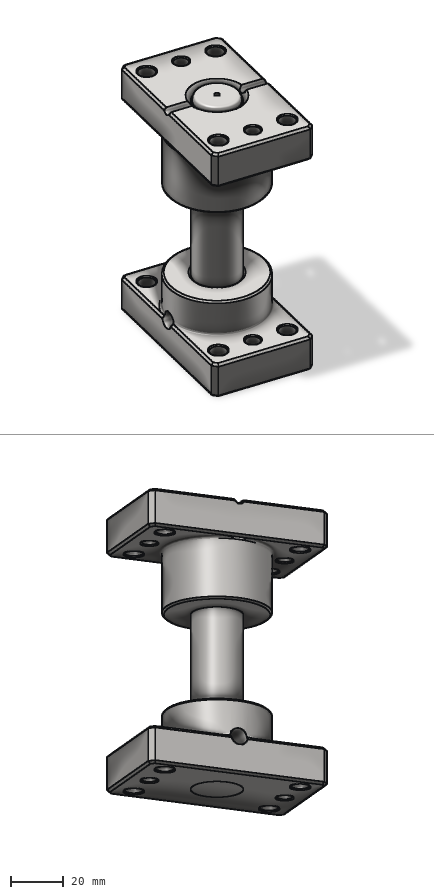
import cadquery as cq

total_height = 110.0
plate_length = 74.0
plate_width = 44.0
plate_thickness = 15.0
corner_chamfer = 2.0
edge_chamfer = 1.0

collar_diameter = 42.0
lower_collar_height = 15.0
upper_collar_height = 25.0
collar_rim_chamfer = 0.8
collar_root_radius = 1.0

pin_diameter = 20.0
pin_neck_diameter = 18.9
pin_top_radius = 2.0
pin_protrusion = 0.4
center_mark_diameter = 2.2
center_mark_depth = 2.0

corner_hole_diameter = 7.0
middle_hole_diameter = 6.0
hole_chamfer = 0.5
hole_spacing_x = 56.0
hole_spacing_y = 30.0

bore_mouth_chamfer = 0.9
countersink_diameter = 24.0
countersink_depth = 2.4
groove_radius = 2.0
side_hole_diameter = 6.8

pin_radius = pin_diameter / 2
collar_radius = collar_diameter / 2
center_mark_tip = center_mark_diameter / 2
upper_face_z = total_height - pin_protrusion
neck_base_z = upper_face_z - countersink_depth


def make_plate():
    """Chamfered rectangular plate with its underside on Z = 0."""
    return (
        cq.Workplane("XY")
        .box(plate_length, plate_width, plate_thickness, centered=(True, True, False))
        .edges("|Z")
        .chamfer(corner_chamfer)
        .faces("<Z or >Z")
        .edges()
        .chamfer(edge_chamfer)
    )


def make_collar(height):
    """Round collar standing on the plate, with a chamfered rim and a rounded root."""
    collar = (
        cq.Workplane("XY", origin=(0, 0, plate_thickness))
        .circle(collar_radius)
        .extrude(height)
        .faces(">Z")
        .chamfer(collar_rim_chamfer)
    )
    root = (
        cq.Workplane("XZ")
        .moveTo(0, plate_thickness)
        .lineTo(collar_radius + collar_root_radius, plate_thickness)
        .radiusArc((collar_radius, plate_thickness + collar_root_radius), collar_root_radius)
        .lineTo(0, plate_thickness + collar_root_radius)
        .close()
        .revolve(360, (0, 0, 0), (0, 1, 0))
    )
    flat_face_limit = cq.Workplane("XY").box(
        plate_length, plate_width - 2 * edge_chamfer, 2 * total_height
    )
    return collar.union(root.intersect(flat_face_limit))


def make_cone(large_diameter, small_diameter, z_large, z_small):
    """Cone between two circles on the Z axis."""
    return (
        cq.Workplane("XY", origin=(0, 0, z_large))
        .circle(large_diameter / 2)
        .workplane(offset=z_small - z_large)
        .circle(small_diameter / 2)
        .loft()
    )


def make_mounting_hole(diameter):
    """Cutter for a through hole with both mouths chamfered."""
    mouth_diameter = diameter + 2 * hole_chamfer
    cutter = cq.Workplane("XY").circle(diameter / 2).extrude(plate_thickness)
    lower_mouth = make_cone(mouth_diameter, diameter, 0, hole_chamfer)
    upper_mouth = make_cone(mouth_diameter, diameter, plate_thickness, plate_thickness - hole_chamfer)
    return cutter.union(lower_mouth).union(upper_mouth)


def make_flange(collar_height):
    """Plate with collar, pin bore and six mounting holes."""
    flange_height = plate_thickness + collar_height
    bore = cq.Workplane("XY").circle(pin_radius).extrude(flange_height)
    flange = make_plate().union(make_collar(collar_height)).cut(bore)
    for side in (-1, 1):
        x = side * hole_spacing_x / 2
        for row in (-1, 0, 1):
            diameter = middle_hole_diameter if row == 0 else corner_hole_diameter
            y = row * hole_spacing_y / 2
            flange = flange.cut(make_mounting_hole(diameter).translate((x, y, 0)))
    return flange


def make_lower_flange():
    """Flange with its collar upward and a side hole running from the -Y side to the bore."""
    flange_height = plate_thickness + lower_collar_height
    bore_mouth = make_cone(
        pin_diameter + 2 * bore_mouth_chamfer, pin_diameter, flange_height, flange_height - bore_mouth_chamfer
    )
    side_hole = (
        cq.Workplane("XZ", origin=(0, 0, plate_thickness))
        .circle(side_hole_diameter / 2)
        .extrude(plate_width / 2)
    )
    return make_flange(lower_collar_height).cut(bore_mouth).cut(side_hole)


def make_upper_flange():
    """Flange with its collar downward, a countersunk bore and a groove across the top."""
    countersink = make_cone(countersink_diameter, pin_diameter, upper_face_z, neck_base_z)
    groove = (
        cq.Workplane("XZ", origin=(0, 0, upper_face_z))
        .circle(groove_radius)
        .extrude(plate_width / 2, both=True)
    )
    return (
        make_flange(upper_collar_height)
        .rotate((0, 0, 0), (1, 0, 0), 180)
        .translate((0, 0, upper_face_z))
        .cut(countersink)
        .cut(groove)
    )


def make_pin():
    """Round pin whose narrower, rounded top neck carries a drilled center mark."""
    shank = cq.Workplane("XY").circle(pin_radius).extrude(neck_base_z)
    neck = (
        cq.Workplane("XY", origin=(0, 0, neck_base_z))
        .circle(pin_neck_diameter / 2)
        .extrude(total_height - neck_base_z)
        .faces(">Z")
        .edges()
        .fillet(pin_top_radius)
    )
    mark_floor_z = total_height - center_mark_depth
    center_mark = (
        cq.Workplane("XZ")
        .moveTo(0, total_height)
        .lineTo(center_mark_diameter / 2, total_height)
        .lineTo(center_mark_diameter / 2, mark_floor_z)
        .lineTo(0, mark_floor_z - center_mark_tip)
        .close()
        .revolve(360, (0, 0, 0), (0, 1, 0))
    )
    return shank.union(neck).cut(center_mark)


lower_flange = make_lower_flange()
upper_flange = make_upper_flange()
pin = make_pin()

result = cq.Compound.makeCompound([lower_flange.val(), upper_flange.val(), pin.val()])